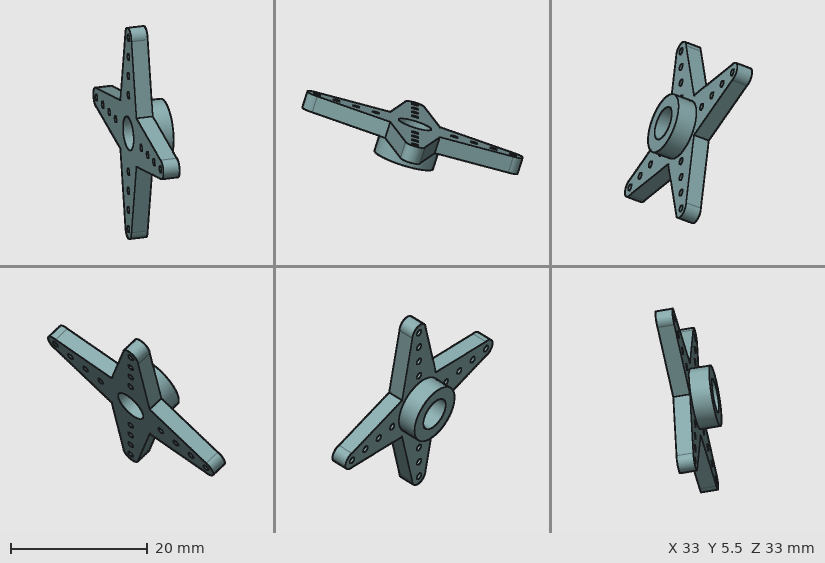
import cadquery as cq
import math

span = 33.0
plate_thickness = 2.5
hub_height = 3.0
hub_diameter = 9.0
bore_diameter = 5.0

arm_count = 4
tip_radius = 1.5
tip_center = span / 2 - tip_radius
corner_offset = 3.8

hole_diameter = 1.0
holes_per_arm = 4
hole_pitch = 3.0


def rotated(point, arm_steps):
    """Rotate a point of the plate plane by whole arm steps about the hub axis."""
    angle = 2 * math.pi * arm_steps / arm_count
    x, z = point
    return (
        x * math.cos(angle) - z * math.sin(angle),
        x * math.sin(angle) + z * math.cos(angle),
    )


def make_plate():
    """Four tapered arms with round tips, meeting at sharp inner corners."""
    outline = cq.Workplane("XZ").moveTo(corner_offset, -corner_offset)
    for arm in range(arm_count):
        outline = outline.lineTo(*rotated((tip_center, -tip_radius), arm))
        outline = outline.threePointArc(
            rotated((span / 2, 0), arm),
            rotated((tip_center, tip_radius), arm),
        )
        if arm < arm_count - 1:
            outline = outline.lineTo(*rotated((corner_offset, corner_offset), arm))
    return outline.close().extrude(plate_thickness)


def make_hub():
    """Round boss standing on the +Y face of the plate."""
    return cq.Workplane("XZ").circle(hub_diameter / 2).extrude(-hub_height)


def cut_bore(body):
    """Central bore through the plate and the hub."""
    bore = cq.Workplane("XZ").workplane(offset=-hub_height).circle(bore_diameter / 2)
    return body.cut(bore.extrude(hub_height + plate_thickness))


def cut_arm_holes(body):
    """Row of through holes on every arm, the last one concentric with the tip."""
    centers = [
        rotated((tip_center - index * hole_pitch, 0), arm)
        for arm in range(arm_count)
        for index in range(holes_per_arm)
    ]
    holes = cq.Workplane("XZ").pushPoints(centers).circle(hole_diameter / 2).extrude(plate_thickness)
    return body.cut(holes)


result = cut_arm_holes(cut_bore(make_plate().union(make_hub())))